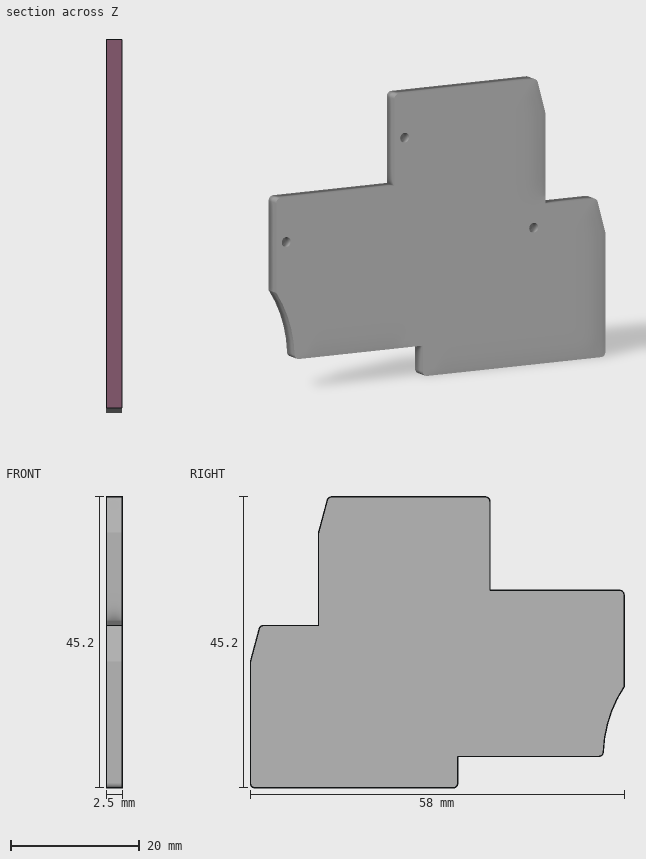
import cadquery as cq
import math

thickness = 2.5
length = 58.0
height = 45.2
back_y = length / 2
front_y = -length / 2

tower_back_y = back_y - 20.8
tower_front_y = front_y + 10.55
foot_back_y = back_y - 25.8

foot_height = 4.9
front_shoulder_height = 25.25
back_shoulder_height = 30.7

slope_height = 5.6
slope_run = slope_height * math.tan(math.radians(15))

scoop_height = 10.85
scoop_setback = 3.25
scoop_radius = (scoop_height**2 + scoop_setback**2) / (2 * scoop_setback)
scoop_angle = math.asin(scoop_height / scoop_radius)

corner_radius = 0.75

hole_diameter = 1.55
hole_depth = 1.75
hole_centers = [
    (back_y - 1.75, back_shoulder_height - 7.1),
    (tower_back_y - 1.8, height - 7.1),
    (front_y + 12.65, front_shoulder_height - 3.6),
]


def make_plate():
    scoop_bottom_y = back_y - scoop_setback
    scoop_middle = (
        scoop_bottom_y + scoop_radius * (1 - math.cos(scoop_angle / 2)),
        foot_height + scoop_radius * math.sin(scoop_angle / 2),
    )
    rounded_corners = [
        (foot_back_y, 0),
        (front_y, 0),
        (front_y + slope_run, front_shoulder_height),
        (tower_front_y + slope_run, height),
        (tower_back_y, height),
        (back_y, back_shoulder_height),
        (scoop_bottom_y, foot_height),
    ]
    plate = (
        cq.Workplane("YZ", origin=(-thickness / 2, 0, 0))
        .moveTo(foot_back_y, 0)
        .lineTo(front_y, 0)
        .lineTo(front_y, front_shoulder_height - slope_height)
        .lineTo(front_y + slope_run, front_shoulder_height)
        .lineTo(tower_front_y, front_shoulder_height)
        .lineTo(tower_front_y, height - slope_height)
        .lineTo(tower_front_y + slope_run, height)
        .lineTo(tower_back_y, height)
        .lineTo(tower_back_y, back_shoulder_height)
        .lineTo(back_y, back_shoulder_height)
        .lineTo(back_y, foot_height + scoop_height)
        .threePointArc(scoop_middle, (scoop_bottom_y, foot_height))
        .lineTo(foot_back_y, foot_height)
        .close()
        .extrude(thickness)
    )
    for y, z in rounded_corners:
        corner_edge = cq.selectors.NearestToPointSelector((0, y, z))
        plate = plate.edges("|X").edges(corner_edge).fillet(corner_radius)
    return plate


def make_holes():
    return (
        cq.Workplane("YZ", origin=(-thickness / 2, 0, 0))
        .pushPoints(hole_centers)
        .circle(hole_diameter / 2)
        .extrude(hole_depth)
    )


result = make_plate().cut(make_holes())